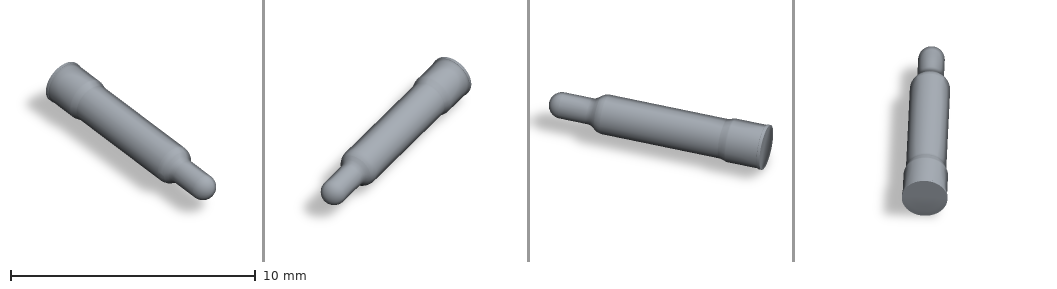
import cadquery as cq
import math


total_length = 9.3
flange_radius = 0.935

sleeve_radius = 0.91
barrel_radius = 0.825
plunger_radius = 0.545

flange_thickness = 0.12
sleeve_end = 1.46
barrel_end = 6.88

taper_angle = math.radians(15)
taper_outer_blend = 0.23
taper_inner_blend = 0.12

shoulder_angle = math.radians(36)
shoulder_outer_blend = 0.47
shoulder_inner_blend = 0.39


def blend_offset(blend_radius, angle):
    """Axial and radial extent of an arc that starts parallel to the axis and turns by angle."""
    return blend_radius * math.sin(angle), blend_radius * (1 - math.cos(angle))


def profile_point(x, radius):
    """Point of the half profile, which is drawn on the -Y side of the axis."""
    return x, -radius


def add_reduction(profile, start_x, start_radius, end_radius, angle, outer_blend, inner_blend):
    """Step down along a convex arc, a tangent cone and a concave arc."""
    outer_length, outer_drop = blend_offset(outer_blend, angle)
    inner_length, inner_drop = blend_offset(inner_blend, angle)
    cone_drop = start_radius - end_radius - outer_drop - inner_drop

    cone_start_x = start_x + outer_length
    cone_end_x = cone_start_x + cone_drop / math.tan(angle)
    end_x = cone_end_x + inner_length

    outer_mid_length, outer_mid_drop = blend_offset(outer_blend, angle / 2)
    inner_mid_length, inner_mid_drop = blend_offset(inner_blend, angle / 2)

    return (
        profile
        .lineTo(*profile_point(start_x, start_radius))
        .threePointArc(
            profile_point(start_x + outer_mid_length, start_radius - outer_mid_drop),
            profile_point(cone_start_x, start_radius - outer_drop),
        )
        .lineTo(*profile_point(cone_end_x, end_radius + inner_drop))
        .threePointArc(
            profile_point(end_x - inner_mid_length, end_radius + inner_mid_drop),
            profile_point(end_x, end_radius),
        )
    )


def add_flange(profile):
    """Thin flange at the flat end, blended into the sleeve by a quarter-round concave fillet."""
    fillet_radius = flange_radius - sleeve_radius
    fillet_end = flange_thickness + fillet_radius
    half_turn = fillet_radius * math.cos(math.radians(45))
    return (
        profile
        .lineTo(*profile_point(0, flange_radius))
        .lineTo(*profile_point(flange_thickness, flange_radius))
        .threePointArc(
            profile_point(fillet_end - half_turn, flange_radius - half_turn),
            profile_point(fillet_end, sleeve_radius),
        )
    )


def add_domed_tip(profile):
    """Straight plunger ending in a hemisphere of the same radius."""
    dome_center = total_length - plunger_radius
    half_turn = plunger_radius * math.cos(math.radians(45))
    return (
        profile
        .lineTo(*profile_point(dome_center, plunger_radius))
        .threePointArc(
            profile_point(dome_center + half_turn, half_turn),
            profile_point(total_length, 0),
        )
    )


half_profile = cq.Workplane("XY").moveTo(0, 0)
half_profile = add_flange(half_profile)
half_profile = add_reduction(
    half_profile, sleeve_end, sleeve_radius, barrel_radius,
    taper_angle, taper_outer_blend, taper_inner_blend,
)
half_profile = add_reduction(
    half_profile, barrel_end, barrel_radius, plunger_radius,
    shoulder_angle, shoulder_outer_blend, shoulder_inner_blend,
)
half_profile = add_domed_tip(half_profile)

result = half_profile.close().revolve(360, (0, 0, 0), (1, 0, 0))